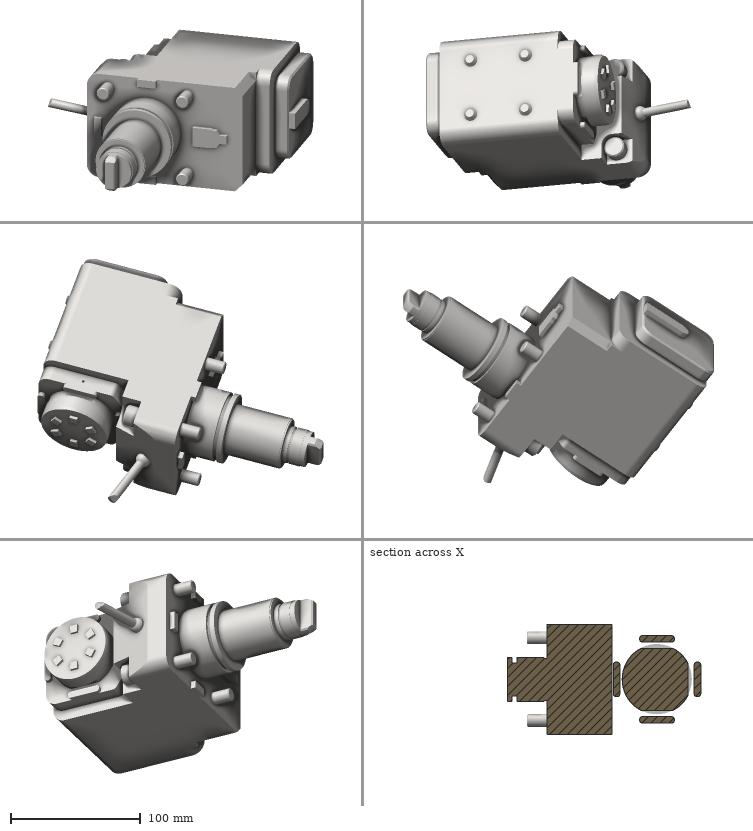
import cadquery as cq
import math


height = 85.0
half_height = height / 2
corner_radius = 10.2
left_x = -49.0
front_right_x = 76.3
right_x = 87.1
gearbox_left_x = -7.7
gearbox_front_y = 37.0
back_y = 119.3
slant_start_y = 16.3
block_back_y = 50.5
slant_top_x = -39.5
side_chamfer = 6.0

screw_offset = 32.0
screw_diameter = 10.0
screw_reach = 15.0
screw_chamfer = 0.7
head_diameter = 16.0
head_front_y = 35.0
head_height = 10.0
head_chamfer = 1.1
pocket_radius = 8.4

key_height = 3.8
key_width = 15.0
key_depth = 5.9
side_key_x = -42.3

arrow_start_x = 37.1
arrow_end_x = 64.3
arrow_half_width = 7.7
arrow_step_start_x = 51.4
arrow_step_end_x = 53.5
arrow_step_half_width = 7.0
arrow_slope_start_x = 56.1
arrow_slope_end_x = 58.8
arrow_neck_half_width = 3.5

spindle_steps = [
    (54.0, -1.8),
    (55.0, -23.3),
    (50.2, -26.5),
    (55.0, -30.3),
    (40.0, -74.5),
    (38.7, -75.4),
    (28.0, -76.5),
    (29.0, -79.2),
    (27.2, -81.0),
    (29.0, -89.2),
    (28.0, -93.2),
]
tip_y = -103.9
tang_thickness = 8.1
tang_diameter = 28.0
tang_chamfer_length = 5.2
tang_chamfer_depth = 3.0
tang_edge_chamfer = 1.1
tang_side_chamfer = 1.1

plate_center_y = 85.0
plate_half = 34.0
plate_corner = 9.5
plate_cut_y = 8.4
plate_cut_z = 11.5
plate_cut_radius = 3.6
left_plate_x = -20.0
cover_x = 98.2
cover_chamfer = 1.4
oil_hole_diameter = 2.1
oil_hole_x = -13.8
oil_hole_depth = 4.5

disc_diameter = 54.0
disc_x = -37.5
disc_taper = 0.5
disc_taper_length = 2.5
disc_flat_distance = 24.2
disc_flat_x = -24.5
disc_flat_angles = (0, 180, 270)
peg_count = 6
peg_circle_radius = 16.0
peg_size = 6.3
peg_narrow = 5.5
peg_height = 2.3

tab_length = 27.2
tab_depth = 5.5
tab_x = -23.3
tab_radius = 2.5

cover_key_x = 103.2
cover_key_front_y = 51.5
cover_key_back_y = 91.0
cover_key_radius = 6.3

plug_diameter = 10.5
plug_top_diameter = 6.3
plug_height = 3.2
plug_positions = [(18.0, 22.2), (18.0, -22.2), (62.0, 22.2), (62.0, -22.2)]

gland_center = (-47.5, 25.8, 0)
gland_diameter = 11.8
cable_diameter = 7.0
cable_length = 44.5
cable_cut_depth = 3.8
cable_cut_angle = 50


def box(x_min, x_max, y_min, y_max, z_min, z_max):
    return cq.Workplane("XY").box(
        x_max - x_min, y_max - y_min, z_max - z_min, centered=False
    ).translate((x_min, y_min, z_min))


def cylinder_y(diameter, y_start, y_end, x=0, z=0):
    """Cylinder along Y between two Y positions."""
    length = y_end - y_start
    return cq.Workplane("XZ", origin=(x, y_start, z)).circle(diameter / 2).extrude(-length)


def make_front_block():
    """Mounting block with a slanted left side and rounded left corners."""
    side = (
        cq.Workplane("XY", origin=(0, 0, -half_height))
        .polyline([
            (left_x, 0),
            (front_right_x, 0),
            (front_right_x, block_back_y),
            (slant_top_x, block_back_y),
            (left_x, slant_start_y),
        ])
        .close()
        .extrude(height)
    )
    outline = box(left_x, front_right_x, 0, block_back_y, -half_height, half_height)
    outline = outline.edges("|Y and <X").fillet(corner_radius)
    block = side.intersect(outline)
    for sign in (-1, 1):
        corner = (
            cq.Workplane("XZ")
            .polyline([
                (front_right_x, sign * half_height),
                (front_right_x - side_chamfer, sign * half_height),
                (front_right_x, sign * (half_height - side_chamfer)),
            ])
            .close()
            .extrude(-gearbox_front_y)
        )
        block = block.cut(corner)
    return block


def make_gearbox():
    gearbox = box(gearbox_left_x, right_x, gearbox_front_y, back_y, -half_height, half_height)
    return gearbox.edges("|X").fillet(corner_radius)


def cut_head_pockets(body):
    """Open corner pockets that give access to the two left screw heads."""
    inner_x = -screw_offset + pocket_radius
    inner_z = screw_offset - pocket_radius
    for sign in (-1, 1):
        z_min, z_max = sorted((sign * inner_z, sign * height))
        pocket = box(2 * left_x, inner_x, head_front_y, block_back_y, z_min, z_max)
        inner_edge = ">X and <Z" if sign > 0 else ">X and >Z"
        pocket = pocket.edges("|Y").edges(inner_edge).fillet(pocket_radius)
        body = body.cut(pocket)
    return body


def add_screws(body):
    for z in (-screw_offset, screw_offset):
        for x in (-screw_offset, screw_offset):
            shank = cylinder_y(screw_diameter, -screw_reach, 0, x, z)
            body = body.union(shank.faces("<Y").chamfer(screw_chamfer))
        head = cylinder_y(head_diameter, head_front_y, head_front_y + head_height, -screw_offset, z)
        body = body.union(head.faces(">Y").chamfer(head_chamfer))
    return body


def add_keys(body):
    half_width = key_width / 2
    inner_z = half_height - key_depth
    body = body.union(box(-half_width, half_width, -key_height, 0, inner_z, half_height))
    body = body.union(box(-half_width, half_width, -key_height, 0, -half_height, -inner_z))
    return body.union(
        box(side_key_x, side_key_x + key_depth, -key_height, 0, -half_width, half_width)
    )


def make_arrow_plate():
    upper = [
        (arrow_start_x, arrow_half_width),
        (arrow_step_start_x, arrow_half_width),
        (arrow_step_end_x, arrow_step_half_width),
        (arrow_slope_start_x, arrow_step_half_width),
        (arrow_slope_end_x, arrow_neck_half_width),
        (arrow_end_x, arrow_neck_half_width),
    ]
    lower = [(x, -z) for x, z in reversed(upper)]
    return cq.Workplane("XZ").polyline(upper + lower).close().extrude(key_height)


def make_spindle():
    """Stepped round shaft that ends in a flat driving tang."""
    outline = [(0, 0)]
    step_start_y = 0
    for diameter, step_end_y in spindle_steps:
        outline.append((diameter / 2, step_start_y))
        outline.append((diameter / 2, step_end_y))
        step_start_y = step_end_y
    outline.append((0, step_start_y))
    shaft = cq.Workplane("XY").polyline(outline).close().revolve(360, (0, 0, 0), (0, 1, 0))

    radius = tang_diameter / 2
    tang_round = (
        cq.Workplane("XY")
        .polyline([
            (0, step_start_y),
            (radius, step_start_y),
            (radius, tip_y + tang_chamfer_length),
            (radius - tang_chamfer_depth, tip_y),
            (0, tip_y),
        ])
        .close()
        .revolve(360, (0, 0, 0), (0, 1, 0))
    )
    half_tang = tang_thickness / 2
    tang_slab = box(-half_tang, half_tang, tip_y, step_start_y, -radius, radius)
    tang_slab = tang_slab.edges("|Z and <Y").chamfer(tang_edge_chamfer)
    tang = tang_round.intersect(tang_slab)
    tang = tang.edges("|Y").chamfer(tang_side_chamfer)
    return shaft.union(tang)


def make_left_plate():
    """Plate that carries the disc; its front corners are cut off at a slant."""
    y_min = plate_center_y - plate_half
    plate = box(left_plate_x, gearbox_left_x, y_min, back_y, -plate_half, plate_half)
    plate = plate.edges("|X and >Y").fillet(plate_corner)
    for sign in (-1, 1):
        corner = (
            cq.Workplane("YZ", origin=(left_plate_x, 0, 0))
            .polyline([
                (y_min, sign * plate_half),
                (y_min + plate_cut_y, sign * plate_half),
                (y_min, sign * (plate_half - plate_cut_z)),
            ])
            .close()
            .extrude(gearbox_left_x - left_plate_x)
        )
        plate = plate.cut(corner)
    blend_y = y_min + plate_cut_y
    blend_edges = cq.selectors.BoxSelector(
        (left_plate_x - 2.3, blend_y - 0.2, -plate_half - 2.3),
        (gearbox_left_x + 2.3, blend_y + 0.2, plate_half + 2.3),
    )
    plate = plate.edges("|X").edges(blend_edges).fillet(plate_cut_radius)
    oil_hole = (
        cq.Workplane("XY", origin=(oil_hole_x, plate_center_y, plate_half))
        .circle(oil_hole_diameter / 2)
        .extrude(-oil_hole_depth)
    )
    return plate.cut(oil_hole)


def make_cover():
    y_min = plate_center_y - plate_half
    cover = box(right_x, cover_x, y_min, back_y, -plate_half, plate_half)
    cover = cover.edges("|X").fillet(plate_corner)
    return cover.faces("<X or >X").chamfer(cover_chamfer)


def make_cover_key():
    """Key on the cover with a round back end."""
    round_center_y = cover_key_back_y - cover_key_radius
    return (
        cq.Workplane("YZ", origin=(cover_x, 0, 0))
        .moveTo(cover_key_front_y, -cover_key_radius)
        .lineTo(round_center_y, -cover_key_radius)
        .threePointArc((cover_key_back_y, 0), (round_center_y, cover_key_radius))
        .lineTo(cover_key_front_y, cover_key_radius)
        .close()
        .extrude(cover_key_x - cover_x)
    )


def make_disc():
    """Disc with a tapered rim, flats next to the tabs and a ring of pegs."""
    disc = (
        cq.Workplane("YZ", origin=(disc_x, plate_center_y, 0))
        .circle(disc_diameter / 2)
        .extrude(left_plate_x - disc_x)
        .faces("<X")
        .chamfer(disc_taper_length, disc_taper)
    )
    axis_start = (0, plate_center_y, 0)
    axis_end = (1, plate_center_y, 0)
    flat_cut = box(
        disc_flat_x, left_plate_x,
        plate_center_y - plate_half, plate_center_y + plate_half,
        disc_flat_distance, plate_half,
    )
    for angle in disc_flat_angles:
        disc = disc.cut(flat_cut.rotate(axis_start, axis_end, angle))
    peg = (
        cq.Workplane("YZ", origin=(disc_x, plate_center_y, 0))
        .polyline([
            (-peg_size / 2, peg_circle_radius + peg_size / 2),
            (peg_size / 2, peg_circle_radius + peg_size / 2),
            (peg_narrow / 2, peg_circle_radius - peg_size / 2),
            (-peg_narrow / 2, peg_circle_radius - peg_size / 2),
        ])
        .close()
        .extrude(-peg_height)
    )
    for index in range(peg_count):
        disc = disc.union(peg.rotate(axis_start, axis_end, index * 360 / peg_count))
    return disc


def add_tabs(body):
    """Four tabs along the sides of the left plate."""
    half_length = tab_length / 2
    outer = plate_half
    inner = outer - tab_depth
    axis_start = (0, plate_center_y, 0)
    axis_end = (1, plate_center_y, 0)
    for angle in (0, 90, 180, 270):
        tab = box(
            tab_x, left_plate_x,
            plate_center_y - half_length, plate_center_y + half_length,
            inner, outer,
        )
        tab = tab.edges("|X").fillet(tab_radius)
        body = body.union(tab.rotate(axis_start, axis_end, angle))
    return body


def make_plug(x, z):
    """Plug with a tapered top on the back face."""
    return (
        cq.Workplane("XZ", origin=(x, back_y, z))
        .circle(plug_diameter / 2)
        .workplane(offset=-plug_height)
        .circle(plug_top_diameter / 2)
        .loft(combine=True)
    )


def make_cable():
    """Ball-shaped gland and a straight cable, square to the slanted side of the block."""
    slant = math.atan2(slant_top_x - left_x, block_back_y - slant_start_y)
    direction = cq.Vector(-math.cos(slant), math.sin(slant), 0)
    cut_angle = math.radians(cable_cut_angle)
    cable_plane = cq.Plane(origin=gland_center, xDir=(0, 0, 1), normal=direction.toTuple())
    cable = cq.Workplane(cable_plane).circle(cable_diameter / 2).extrude(cable_length)
    cut_direction = cable_plane.xDir.multiply(math.cos(cut_angle))
    cut_direction = cut_direction - cable_plane.yDir.multiply(math.sin(cut_angle))
    end_center = cq.Vector(*gland_center) + direction.multiply(cable_length)
    cut_normal = cut_direction.cross(direction)
    cut_plane = cq.Plane(end_center.toTuple(), cut_direction.toTuple(), cut_normal.toTuple())
    wedge = (
        cq.Workplane(cut_plane)
        .polyline([(0, 0), (cable_diameter, 0), (cable_diameter, -2 * cable_cut_depth)])
        .close()
        .extrude(cable_diameter, both=True)
    )
    cable = cable.cut(wedge)
    gland = cq.Workplane("XY").sphere(gland_diameter / 2).translate(gland_center)
    return cable.union(gland)


body = make_front_block().union(make_gearbox())
body = cut_head_pockets(body)
body = add_screws(body)
body = add_keys(body)
body = body.union(make_arrow_plate())
body = body.union(make_spindle())
body = body.union(make_left_plate())
body = body.union(make_disc())
body = add_tabs(body)
body = body.union(make_cover())
body = body.union(make_cover_key())
for plug_x, plug_z in plug_positions:
    body = body.union(make_plug(plug_x, plug_z))
result = body.union(make_cable())